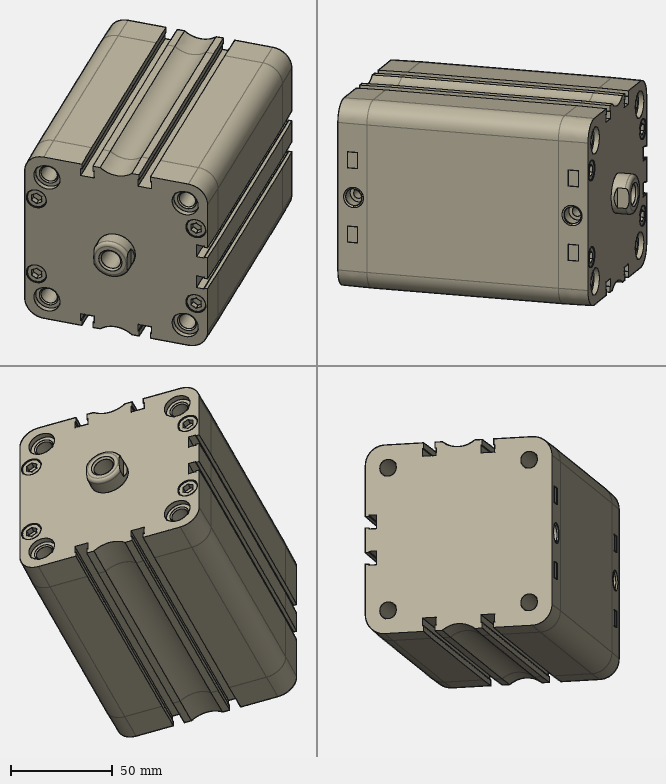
import cadquery as cq
import math

total_length = 138.0
side = 95.5
rod_length = 8.8
block_length = total_length - rod_length
cap_length = 15.2
cap_draft = 1.0
corner_radius = 10.2
half = side / 2

groove_half_width = 8.1
groove_depth = 2.9

slot_mouth = 5.8
slot_inner = 6.9
top_slot_offset = 14.9
top_slot_lip = 3.2
top_slot_depth = 7.0
side_slot_offset = 9.1
side_slot_lip = 2.1
side_slot_depth = 6.0

mount_offset = 35.9
mount_hole_dia = 8.4
mount_chamfer_dia = 9.8
mount_bore_dia = 13.5
mount_bore_depth = 2.8

screw_x = 41.4
screw_z = 22.1
screw_pocket_dia = 10.4
screw_head_dia = 9.8
screw_gap_depth = 1.4
screw_recess = 0.4
hex_flats = 5.2
hex_depth = 3.5

port_end_distance = 8.1
port_chamfer_dia = 10.4
port_dia = 8.5
port_depth = 8.3
port_duct_dia = 5.0
port_duct_depth = 16.5

label_end_distance = 7.6
label_z = 18.9
label_width = 5.2
label_height = 8.1
label_depth = 0.5

rod_dia = 20.0
rod_flats = 17.2
flat_start = 1.5
rod_fillet = 2.0
rod_hole_dia = 10.1
rod_chamfer_dia = 12.0
rod_hole_depth = 20.7


def cylinder(dia, length, start, direction):
    return cq.Workplane(cq.Solid.makeCylinder(dia / 2, length, cq.Vector(*start), cq.Vector(*direction)))


def countersink(large_dia, small_dia, start, direction):
    """45 degree cone narrowing from large_dia to small_dia along direction."""
    depth = (large_dia - small_dia) / 2
    return cq.Workplane(
        cq.Solid.makeCone(large_dia / 2, small_dia / 2, depth, cq.Vector(*start), cq.Vector(*direction))
    )


def block_section(y):
    """Rounded square with a round groove in the top and bottom, on the plane at the given Y."""
    flat = half - corner_radius
    diagonal = flat + corner_radius * math.sqrt(0.5)
    floor = half - groove_depth
    return (
        cq.Workplane("XZ", origin=(0, y, 0))
        .moveTo(-groove_half_width, half)
        .threePointArc((0, floor), (groove_half_width, half))
        .lineTo(flat, half)
        .threePointArc((diagonal, diagonal), (half, flat))
        .lineTo(half, -flat)
        .threePointArc((diagonal, -diagonal), (flat, -half))
        .lineTo(groove_half_width, -half)
        .threePointArc((0, -floor), (-groove_half_width, -half))
        .lineTo(-flat, -half)
        .threePointArc((-diagonal, -diagonal), (-half, -flat))
        .lineTo(-half, flat)
        .threePointArc((-diagonal, diagonal), (-flat, half))
        .close()
    )


def make_block():
    """Straight barrel between two end caps that taper towards their outer faces."""
    barrel_length = block_length - 2 * cap_length
    barrel = block_section(block_length - cap_length).extrude(barrel_length)
    front_cap = block_section(cap_length).extrude(cap_length, taper=cap_draft)
    rear_cap = front_cap.mirror("XZ", (0, block_length / 2, 0))
    return barrel.union(front_cap).union(rear_cap)


def slot_cutter(offset, lip, depth):
    """Full-length T-slot opening in the top face, centred at X = offset."""
    mouth = cq.Workplane("XY").box(slot_mouth, block_length, depth, centered=(True, False, False))
    inner = cq.Workplane("XY").box(slot_inner, block_length, depth - lip, centered=(True, False, False))
    return mouth.union(inner).translate((offset, 0, half - depth))


def cut_slots(body):
    for sign in (-1, 1):
        top_slot = slot_cutter(sign * top_slot_offset, top_slot_lip, top_slot_depth)
        side_slot = slot_cutter(sign * side_slot_offset, side_slot_lip, side_slot_depth)
        body = body.cut(top_slot).cut(top_slot.mirror("XY"))
        body = body.cut(side_slot.rotate((0, 0, 0), (0, 1, 0), 90))
    return body


def cut_mounting_holes(body):
    for x in (-mount_offset, mount_offset):
        for z in (-mount_offset, mount_offset):
            body = body.cut(cylinder(mount_hole_dia, block_length, (x, 0, z), (0, 1, 0)))
            body = body.cut(cylinder(mount_bore_dia, mount_bore_depth, (x, 0, z), (0, 1, 0)))
            body = body.cut(
                countersink(mount_chamfer_dia, mount_hole_dia, (x, mount_bore_depth, z), (0, 1, 0))
            )
    return body


def cut_screws(body):
    """Socket screw heads sitting in round pockets with a narrow gap around them."""
    hex_corners = hex_flats / math.cos(math.pi / 6)
    for x in (-screw_x, screw_x):
        for z in (-screw_z, screw_z):
            pocket = cylinder(screw_pocket_dia, screw_gap_depth, (x, 0, z), (0, 1, 0))
            head = cylinder(screw_head_dia, screw_gap_depth, (x, screw_recess, z), (0, 1, 0))
            socket = (
                cq.Workplane("XZ", origin=(x, 0, z))
                .transformed(rotate=(0, 0, 90))
                .polygon(6, hex_corners)
                .extrude(-hex_depth)
            )
            body = body.cut(pocket.cut(head)).cut(socket)
    return body


def cut_ports(body):
    face_x = -half + (cap_length - port_end_distance) * math.tan(math.radians(cap_draft))
    inward = (1, 0, 0)
    for y in (port_end_distance, block_length - port_end_distance):
        body = body.cut(cylinder(port_dia, port_depth, (-half, y, 0), inward))
        body = body.cut(countersink(port_chamfer_dia, port_dia, (face_x, y, 0), inward))
        body = body.cut(cylinder(port_duct_dia, port_duct_depth, (-half, y, 0), inward))
    return body


def cut_labels(body):
    for y in (label_end_distance, block_length - label_end_distance):
        for z in (-label_z, label_z):
            recess = cq.Workplane("XY").box(
                label_depth, label_width, label_height, centered=(False, True, True)
            )
            body = body.cut(recess.translate((-half, y, z)))
    return body


def make_rod():
    """Rod end with two wrench flats that run out at 45 degrees, and a rounded tip."""
    rod = cylinder(rod_dia, rod_length, (0, 0, 0), (0, -1, 0)).faces("<Y").edges().fillet(rod_fillet)
    radius = rod_dia / 2
    half_flats = rod_flats / 2
    flat_cutter = (
        cq.Workplane("XY")
        .moveTo(radius, -flat_start)
        .lineTo(radius, -rod_length)
        .lineTo(half_flats, -rod_length)
        .lineTo(half_flats, -flat_start - (radius - half_flats))
        .close()
        .extrude(radius, both=True)
    )
    return rod.cut(flat_cutter).cut(flat_cutter.mirror("YZ"))


def cut_rod_hole(body):
    tip = (0, -rod_length, 0)
    body = body.cut(cylinder(rod_hole_dia, rod_hole_depth, tip, (0, 1, 0)))
    return body.cut(countersink(rod_chamfer_dia, rod_hole_dia, tip, (0, 1, 0)))


body = cut_slots(make_block())
body = cut_mounting_holes(body)
body = cut_screws(body)
body = cut_ports(body)
body = cut_labels(body)
result = cut_rod_hole(body.union(make_rod()))